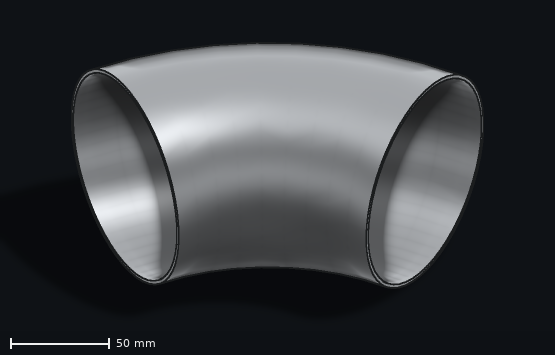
import cadquery as cq
import math

bend_angle = 60.0
overall_depth = 181.5
outer_diameter = 114.4
wall_thickness = 2.0

outer_radius = outer_diameter / 2
inner_radius = outer_radius - wall_thickness

outside_bend_radius = overall_depth / math.sin(math.radians(bend_angle))
bend_radius = outside_bend_radius - outer_radius

pipe_section = cq.Workplane("XZ").circle(outer_radius).circle(inner_radius)

axis_start = (bend_radius, 0)
axis_end = (bend_radius, -1)
result = pipe_section.revolve(bend_angle, axis_start, axis_end)